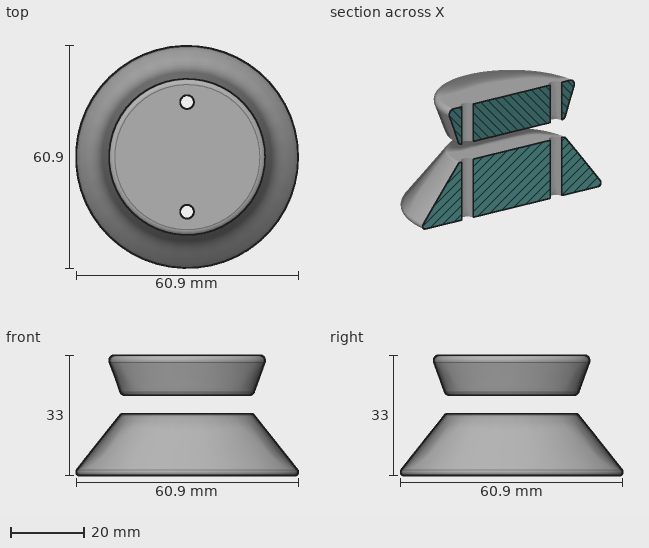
import cadquery as cq

neck_radius = 18.0
gap = 5.0

base_height = 17.0
base_foot_radius = 31.5
base_edge_fillet = 1.0

knob_height = 11.0
knob_top_radius = 22.0
knob_edge_fillet = 1.5

hole_diameter = 3.7
hole_spacing = 30.0

knob_bottom_z = base_height + gap


def make_cone(bottom_z, height, bottom_radius, top_radius):
    """Solid truncated cone standing on bottom_z."""
    profile = (
        cq.Workplane("XZ", origin=(0, 0, bottom_z))
        .moveTo(0, 0)
        .lineTo(bottom_radius, 0)
        .lineTo(top_radius, height)
        .lineTo(0, height)
        .close()
    )
    return profile.revolve(360, (0, 0, 0), (0, 1, 0))


def drill_screw_holes(body):
    """Cut the two through holes, one on each side of the axis."""
    hole_centres = [(0, side * hole_spacing / 2) for side in (-1, 1)]
    top_face = body.faces(">Z").workplane(origin=(0, 0, 0))
    return top_face.pushPoints(hole_centres).hole(hole_diameter)


def make_base():
    """Wide foot that tapers up to the neck."""
    cone = make_cone(0, base_height, base_foot_radius, neck_radius)
    rounded = cone.edges("%CIRCLE").fillet(base_edge_fillet)
    return drill_screw_holes(rounded)


def make_knob():
    """Cap that flares outward from the neck to its flat top."""
    cone = make_cone(knob_bottom_z, knob_height, neck_radius, knob_top_radius)
    rounded = cone.edges("%CIRCLE").fillet(knob_edge_fillet)
    return drill_screw_holes(rounded)


base = make_base()
knob = make_knob()

result = cq.Compound.makeCompound([base.val(), knob.val()])